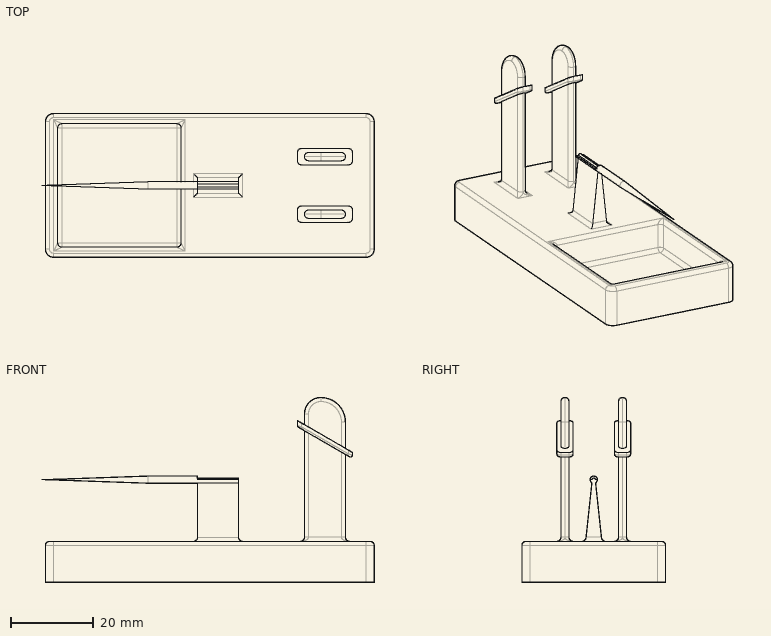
import cadquery as cq
import math

BASE_LENGTH = 80.0
BASE_WIDTH = 35.0
BASE_HEIGHT = 10.0
BASE_CORNER_RADIUS = 2.0
EDGE_RADIUS = 1.0

TRAY_SIDE = 30.0
TRAY_START_X = 3.0
TRAY_FLOOR_Z = 2.0
TRAY_FLOOR_RADIUS = 0.999

STAND_START_X = 37.0
STAND_LENGTH = 10.0
STAND_BASE_WIDTH = 4.0
STAND_TOP_WIDTH = 0.8

NEEDLE_RADIUS = 0.9
NEEDLE_AXIS_Z = 25.0
TAIL_RADIUS = 0.4
SHANK_LENGTH = 12.0
TIP_OVERHANG = 0.77

PADDLE_START_X = 63.0
PADDLE_WIDTH = 10.0
PADDLE_THICKNESS = 2.0
PADDLE_TOP_Z = 45.0
PADDLE_ROUNDING = 0.999
PADDLE_SPACING = 14.0
LEFT_CORNER_RADIUS = 4.0
RIGHT_CORNER_RADIUS = PADDLE_WIDTH - LEFT_CORNER_RADIUS

COLLAR_LENGTH = 13.4
COLLAR_WIDTH = 4.0
COLLAR_DROP = 1.5
COLLAR_SLOPE = math.radians(30)
COLLAR_CORNER_RADIUS = 1.0
COLLAR_EDGE_RADIUS = 0.48
COLLAR_TOP_Z = 35.5


MARGIN = 0.1


def box(start_x, length, width, low_z, high_z, middle_y=0):
    """Box starting at start_x, centred on Y = middle_y."""
    block = cq.Workplane("XY").box(length, width, high_z - low_z, centered=(False, True, False))
    return block.translate((start_x, middle_y, low_z))


def zone(start_x, length, width, low_z, high_z, middle_y=0):
    """Selector for whatever has its centre inside the given box, widened by MARGIN."""
    low_corner = (start_x - MARGIN, middle_y - width / 2 - MARGIN, low_z - MARGIN)
    high_corner = (start_x + length + MARGIN, middle_y + width / 2 + MARGIN, high_z + MARGIN)
    return cq.selectors.BoxSelector(low_corner, high_corner)


def make_base():
    block = box(0, BASE_LENGTH, BASE_WIDTH, 0, BASE_HEIGHT)
    block = block.edges("|Z").fillet(BASE_CORNER_RADIUS)
    return block.faces(">Z").edges().fillet(EDGE_RADIUS)


def cut_tray(body):
    """Sink the tray, round its rim, then its upright corners, then its floor."""
    footprint = (TRAY_START_X, TRAY_SIDE, TRAY_SIDE)
    body = body.cut(box(*footprint, TRAY_FLOOR_Z, BASE_HEIGHT))
    body = body.edges(zone(*footprint, BASE_HEIGHT, BASE_HEIGHT)).fillet(EDGE_RADIUS)
    walls = zone(*footprint, TRAY_FLOOR_Z + EDGE_RADIUS, BASE_HEIGHT - EDGE_RADIUS)
    body = body.edges(walls).edges("|Z").fillet(EDGE_RADIUS)
    floor = body.faces(zone(*footprint, TRAY_FLOOR_Z, TRAY_FLOOR_Z))
    return floor.edges().fillet(TRAY_FLOOR_RADIUS)


def add_stand(body):
    """Stand tapering in Y up to the needle, blended into the base at its foot."""
    stand = (
        cq.Workplane("YZ", origin=(STAND_START_X, 0, 0))
        .moveTo(-STAND_BASE_WIDTH / 2, BASE_HEIGHT)
        .lineTo(STAND_BASE_WIDTH / 2, BASE_HEIGHT)
        .lineTo(STAND_TOP_WIDTH / 2, NEEDLE_AXIS_Z)
        .lineTo(-STAND_TOP_WIDTH / 2, NEEDLE_AXIS_Z)
        .close()
        .extrude(STAND_LENGTH)
    )
    foot = zone(STAND_START_X, STAND_LENGTH, STAND_BASE_WIDTH, BASE_HEIGHT, BASE_HEIGHT)
    return body.union(stand).edges(foot).fillet(EDGE_RADIUS)


def make_needle():
    """Pointed shank, followed by a half-round tail with a narrower half-round ridge on top."""
    tip = (-TIP_OVERHANG, NEEDLE_AXIS_Z)
    shank_start_x = STAND_START_X - SHANK_LENGTH
    shank = (
        cq.Workplane("XZ")
        .moveTo(*tip)
        .lineTo(shank_start_x, NEEDLE_AXIS_Z + NEEDLE_RADIUS)
        .lineTo(STAND_START_X, NEEDLE_AXIS_Z + NEEDLE_RADIUS)
        .lineTo(STAND_START_X, NEEDLE_AXIS_Z)
        .close()
        .revolve(axisStart=tip, axisEnd=(STAND_START_X, NEEDLE_AXIS_Z))
    )
    tail = (
        cq.Workplane("YZ", origin=(STAND_START_X, 0, NEEDLE_AXIS_Z))
        .moveTo(-NEEDLE_RADIUS, 0)
        .threePointArc((0, -NEEDLE_RADIUS), (NEEDLE_RADIUS, 0))
        .lineTo(TAIL_RADIUS, 0)
        .threePointArc((0, TAIL_RADIUS), (-TAIL_RADIUS, 0))
        .close()
        .extrude(STAND_LENGTH)
    )
    return shank.union(tail)


def add_paddle(body, middle_y):
    """Upright paddle: square foot blend first, then its outline edges rounded down into the blend."""
    end_x = PADDLE_START_X + PADDLE_WIDTH
    paddle = (
        cq.Workplane("XZ", origin=(0, middle_y, 0))
        .moveTo(PADDLE_START_X, BASE_HEIGHT)
        .lineTo(end_x, BASE_HEIGHT)
        .lineTo(end_x, PADDLE_TOP_Z - RIGHT_CORNER_RADIUS)
        .tangentArcPoint((PADDLE_START_X + LEFT_CORNER_RADIUS, PADDLE_TOP_Z), relative=False)
        .tangentArcPoint((PADDLE_START_X, PADDLE_TOP_Z - LEFT_CORNER_RADIUS), relative=False)
        .close()
        .extrude(PADDLE_THICKNESS / 2, both=True)
    )
    footprint = (PADDLE_START_X, PADDLE_WIDTH, PADDLE_THICKNESS)
    foot = zone(*footprint, BASE_HEIGHT, BASE_HEIGHT, middle_y)
    body = body.union(paddle).edges(foot).fillet(EDGE_RADIUS)
    upright = zone(*footprint, BASE_HEIGHT + EDGE_RADIUS, PADDLE_TOP_Z, middle_y)
    return body.edges(upright).edges("|Z").fillet(PADDLE_ROUNDING)


def make_collar(middle_y):
    """Collar with upright sides and parallel sloping faces, descending towards +X."""
    middle_x = PADDLE_START_X + PADDLE_WIDTH / 2
    rise = COLLAR_LENGTH / 2 * math.tan(COLLAR_SLOPE)
    collar = (
        cq.Workplane("XZ", origin=(middle_x, middle_y, COLLAR_TOP_Z))
        .moveTo(-COLLAR_LENGTH / 2, rise)
        .lineTo(COLLAR_LENGTH / 2, -rise)
        .lineTo(COLLAR_LENGTH / 2, -rise - COLLAR_DROP)
        .lineTo(-COLLAR_LENGTH / 2, rise - COLLAR_DROP)
        .close()
        .extrude(COLLAR_WIDTH / 2, both=True)
    )
    collar = collar.edges("|Z").fillet(COLLAR_CORNER_RADIUS)
    underside = cq.Vector(-math.sin(COLLAR_SLOPE), 0, -math.cos(COLLAR_SLOPE))
    return collar.faces(cq.selectors.DirectionMinMaxSelector(underside)).edges().fillet(COLLAR_EDGE_RADIUS)


result = make_base()
result = cut_tray(result)
result = add_stand(result)
for side in (-1, 1):
    result = add_paddle(result, side * PADDLE_SPACING / 2)
for side in (-1, 1):
    result = result.union(make_collar(side * PADDLE_SPACING / 2))
result = result.union(make_needle())